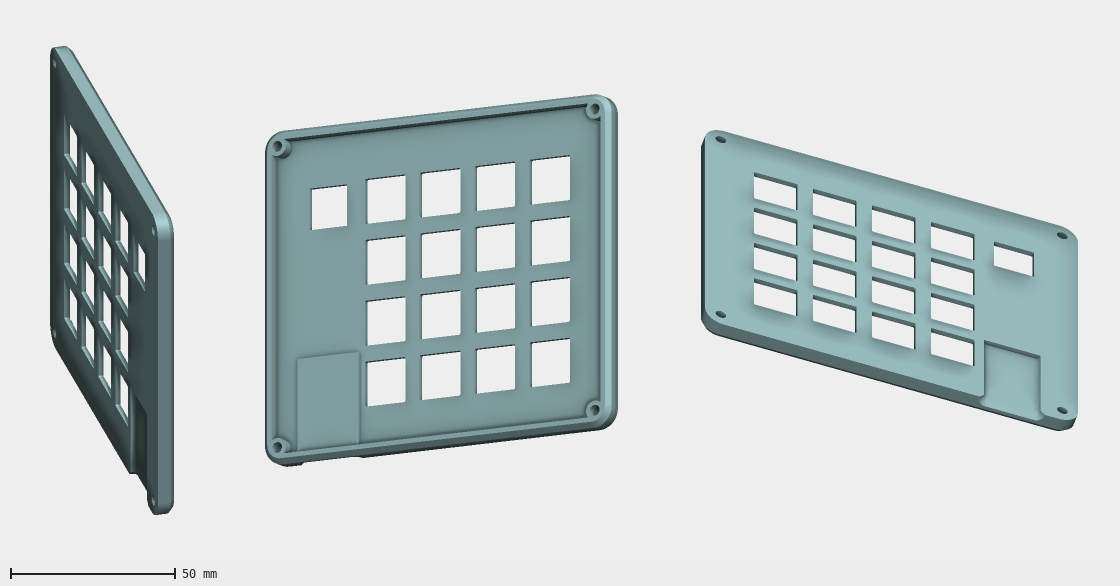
import cadquery as cq

width = 120.0
depth = 5.5
height = 104.0
corner_radius = 6.2
back_chamfer = 1.5
front_y = -depth / 2
back_y = depth / 2

sheet_thickness = 1.5
rim_wall = 3.0
hollow_corner_radius = corner_radius - rim_wall

screw_diameter = 3.4
post_diameter = 6.0
screw_inset = 5.0
screw_points = [
    (side_x * (width / 2 - screw_inset), side_z * (height / 2 - screw_inset))
    for side_x in (-1, 1)
    for side_z in (-1, 1)
]

key_count = 4
key_grid_span = 57.0
key_pitch = key_grid_span / (key_count - 1)
key_size = 14.0
key_corner_radius = 0.5
key_grid_x = -8.8
key_grid_z = -1.0

knob_size = 13.0
knob_x = 39.4
knob_z = 27.1

channel_width = 18.2
channel_x = 38.9
channel_top_z = -20.9
channel_depth = 1.4
channel_fillet = 1.3
mouth_flare = 1.4
channel_backing = 1.4


def front_plane(y):
    """XZ sketch plane at the given Y; a negative extrusion goes toward +Y."""
    return cq.Workplane(cq.Plane(origin=(0, y, 0), xDir=(1, 0, 0), normal=(0, -1, 0)))


def rounded_block(size_x, size_z, radius, y_start, y_end):
    """Block centred on X and Z, with its four edges along Y rounded."""
    block = front_plane(y_start).rect(size_x, size_z).extrude(y_start - y_end)
    return block.edges("|Y").fillet(radius)


def plate():
    body = rounded_block(width, height, corner_radius, front_y, back_y)
    return body.faces(">Y").edges().chamfer(back_chamfer)


def hollow():
    """Space behind the front sheet, less the four screw posts and the pad backing the channel."""
    floor_y = front_y + sheet_thickness
    space = rounded_block(
        width - 2 * rim_wall, height - 2 * rim_wall, hollow_corner_radius, floor_y, back_y
    )
    posts = (
        front_plane(floor_y)
        .pushPoints(screw_points)
        .circle(post_diameter / 2)
        .extrude(floor_y - back_y)
    )
    pad_top_z = channel_top_z + channel_backing
    pad_height = pad_top_z + height / 2
    pad = (
        front_plane(front_y)
        .center(channel_x, pad_top_z - pad_height / 2)
        .rect(channel_width + 2 * channel_backing, pad_height)
        .extrude(-(channel_depth + channel_backing))
    )
    return space.cut(posts).cut(pad)


def screw_holes():
    centres = front_plane(front_y).pushPoints(screw_points)
    return centres.circle(screw_diameter / 2).extrude(-depth)


def key_openings():
    grid = front_plane(front_y).center(key_grid_x, key_grid_z)
    centres = grid.rarray(key_pitch, key_pitch, key_count, key_count)
    openings = centres.rect(key_size, key_size).extrude(-depth)
    return openings.edges("|Y").fillet(key_corner_radius)


def knob_opening():
    centre = front_plane(front_y).center(knob_x, knob_z)
    return centre.rect(knob_size, knob_size).extrude(-depth)


def channel():
    """Channel with rounded floor edges and a mouth that flares at 45 degrees to the bottom edge.

    Both pieces are rounded bars centred on the front face, so that only their rear half cuts.
    """
    bottom_z = -height / 2
    base = cq.Workplane("XY", origin=(channel_x, front_y, bottom_z))
    groove = (
        base.rect(channel_width, 2 * channel_depth)
        .extrude(channel_top_z - bottom_z)
        .edges("|Z")
        .fillet(channel_fillet)
    )
    mouth_width = channel_width + 2 * mouth_flare
    mouth_depth = channel_depth + mouth_flare
    mouth_outline = cq.Sketch().rect(mouth_width, 2 * mouth_depth)
    mouth_outline = mouth_outline.vertices().fillet(channel_fillet + mouth_flare)
    mouth = base.placeSketch(mouth_outline).extrude(mouth_flare, taper=45)
    return groove.union(mouth)


result = (
    plate()
    .cut(hollow())
    .cut(screw_holes())
    .cut(key_openings())
    .cut(knob_opening())
    .cut(channel())
)